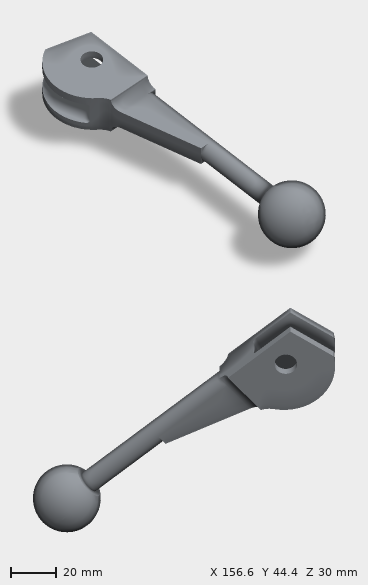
import cadquery as cq
import math


overall_length = 156.6

rod_diameter = 10.0
rod_radius = rod_diameter / 2
ball_radius = 15.0
ball_flat_offset = 13.0

head_height = 20.0
pivot_diameter = 10.0
pivot_y = -6.5
cam_radius = 22.5
cam_y = -6.9
tip_x = -18.6
tip_y = -17.2
head_end_x = 24.0
cam_blend_radius = 10.0

slot_height = 11.7
slot_floor_back_x = 9.2
slot_fillet = 1.5

slant = math.tan(math.radians(15))
back_corner_x = tip_x + slant * (rod_radius - tip_y)
cam_x = tip_x + math.sqrt(cam_radius**2 - (tip_y - cam_y) ** 2)
ball_center_x = tip_x + overall_length - ball_radius

rib_end_x = 69.4
flare_radius = (head_height - rod_diameter) / 2
flare_end_x = head_end_x + flare_radius

clearance = 7.8
far_y = cam_y - cam_radius - clearance


def prism(points, height):
    """Closed XY polygon extruded evenly about Z = 0."""
    return cq.Workplane("XY").polyline(points).close().extrude(height / 2, both=True)


def rib_edge_y(x):
    """Y of the sloping front edge of the rib."""
    return -rod_radius - slant * (rib_end_x - x)


def slanted_x(back_x, y, lean):
    """X at Y on a 15 degree line starting at the back face; lean is its X direction."""
    return back_x + lean * slant * (rod_radius - y)


def make_head():
    """Cam-shaped head with the flare, blended into the slope of the rib."""
    cam = cq.Workplane("XY").center(cam_x, cam_y).circle(cam_radius).extrude(head_height / 2, both=True)
    tail = prism(
        [
            (cam_x, rod_radius),
            (flare_end_x, rod_radius),
            (flare_end_x, rib_edge_y(flare_end_x)),
            (cam_x, rib_edge_y(cam_x)),
        ],
        head_height,
    )
    back_half = prism(
        [
            (back_corner_x, rod_radius),
            (cam_x, rod_radius),
            (cam_x, cam_y),
            (slanted_x(back_corner_x, cam_y, -1), cam_y),
        ],
        head_height,
    )
    limits = prism(
        [
            (back_corner_x, rod_radius),
            (flare_end_x, rod_radius),
            (flare_end_x, far_y),
            (slanted_x(back_corner_x, far_y, -1), far_y),
        ],
        head_height,
    )
    head = cam.union(tail).union(back_half).intersect(limits)

    cam_end = (head_end_x - cam_blend_radius / 2, rib_edge_y(head_end_x), 0)
    head = head.edges("|Z").edges(cq.selectors.NearestToPointSelector(cam_end)).fillet(cam_blend_radius)

    for side in (-1, 1):
        flare_cut = (
            cq.Workplane("XZ", origin=(flare_end_x, rod_radius + clearance, side * head_height / 2))
            .circle(flare_radius)
            .extrude(rod_radius + clearance - far_y)
        )
        head = head.cut(flare_cut)
    return head


def make_slot():
    """Cutter for the fork slot, rounded along both edges of its floor."""
    front_y = far_y
    back_y = rod_radius + clearance
    open_x = back_corner_x - 2 * cam_radius
    slot = prism(
        [
            (open_x, back_y),
            (slanted_x(slot_floor_back_x, back_y, 1), back_y),
            (slanted_x(slot_floor_back_x, front_y, 1), front_y),
            (open_x, front_y),
        ],
        slot_height,
    )
    floor_normal = cq.Vector(1, slant, 0)
    floor = slot.faces(cq.selectors.DirectionMinMaxSelector(floor_normal))
    return floor.edges("not |Z").fillet(slot_fillet)


def make_rib():
    return prism(
        [
            (head_end_x, 0),
            (rib_end_x, 0),
            (rib_end_x, rib_edge_y(rib_end_x)),
            (head_end_x, rib_edge_y(head_end_x)),
        ],
        rod_diameter,
    )


def make_handle():
    """Round rod ending in a ball with a flat around the rod."""
    rod = cq.Workplane("YZ", origin=(head_end_x, 0, 0)).circle(rod_radius).extrude(ball_center_x - head_end_x)
    flat_x = ball_center_x - ball_flat_offset
    ball_limits = cq.Workplane("YZ", origin=(flat_x, 0, 0)).circle(2 * ball_radius).extrude(3 * ball_radius)
    ball = cq.Workplane("XY").sphere(ball_radius).translate((ball_center_x, 0, 0)).intersect(ball_limits)
    return rod.union(ball)


pivot_hole = (
    cq.Workplane("XY").center(0, pivot_y).circle(pivot_diameter / 2).extrude(head_height, both=True)
)
head = make_head().cut(make_slot()).cut(pivot_hole)
result = head.union(make_rib()).union(make_handle())